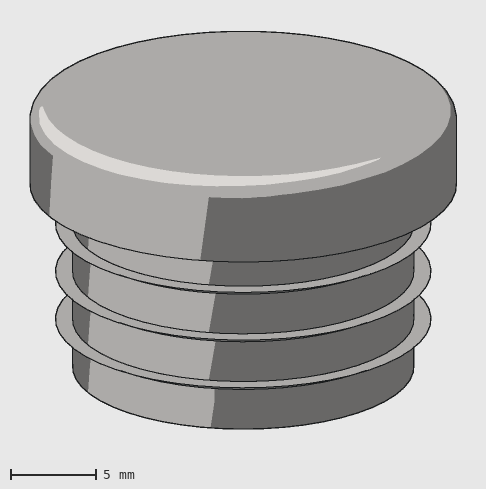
import cadquery as cq

cap_diameter = 25
cap_height = 5
cap_edge_radius = 1
stem_diameter = 20
stem_length = 11.5

fin_diameter = 22
fin_height = 0.5
fin_pitch = 3
fin_count = 3


def make_cap():
    """Disc with its upper rim rounded."""
    disc = cq.Workplane("XY").workplane(offset=stem_length).circle(cap_diameter / 2).extrude(cap_height)
    return disc.faces(">Z").edges().fillet(cap_edge_radius)


def make_stem():
    return cq.Workplane("XY").circle(stem_diameter / 2).extrude(stem_length)


def make_fin(top_z):
    """Ring with a flat top, tapering down to the stem surface."""
    bottom_z = top_z - fin_height
    profile = [
        (0, bottom_z),
        (stem_diameter / 2, bottom_z),
        (fin_diameter / 2, top_z),
        (0, top_z),
    ]
    return cq.Workplane("XZ").polyline(profile).close().revolve(360, (0, 0, 0), (0, 1, 0))


result = make_stem().union(make_cap())
for fin_number in range(1, fin_count + 1):
    result = result.union(make_fin(fin_number * fin_pitch))